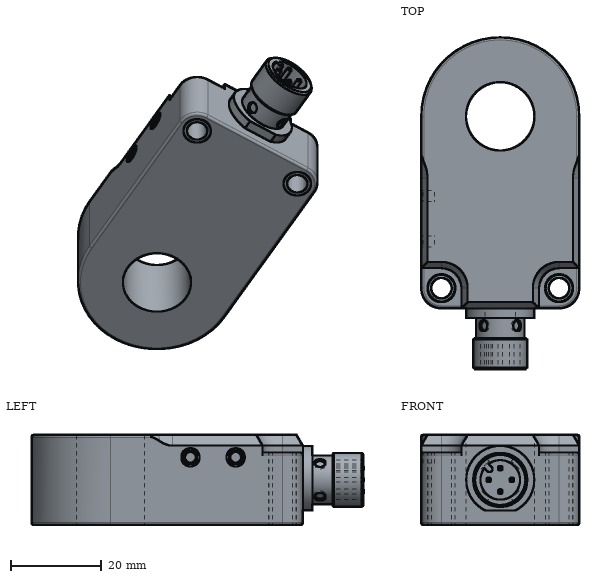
import cadquery as cq
import math

WIDTH = 35.0
HEIGHT = 20.0
HOUSING_LENGTH = 60.0
RING_RADIUS = WIDTH / 2
FRONT_Y = RING_RADIUS - HOUSING_LENGTH
RING_HOLE_DIAMETER = 15.1
EDGE_RADIUS = 0.6

BUSHING_OUTER_DIAMETER = 6.0
BUSHING_BORE_DIAMETER = 4.5
BUSHING_SEAT_DIAMETER = 6.1
CORNER_RADIUS = 4.5
MOUNT_X = RING_RADIUS - CORNER_RADIUS
MOUNT_Y = FRONT_Y + CORNER_RADIUS
MOUNTS = [(-MOUNT_X, MOUNT_Y), (MOUNT_X, MOUNT_Y)]
LUG_HEIGHT = 16.1
POCKET_RADIUS = 4.4

CROWN_HEIGHT = 2.4
CROWN_SLOPE = 30
CROWN_INSET = CROWN_HEIGHT * math.tan(math.radians(CROWN_SLOPE))
CROWN_BASE_Z = HEIGHT - CROWN_HEIGHT
RUNOUT_START_Y = -13.7
RUNOUT_END_Y = -7.5
RUNOUT_END_INSET = 0.15

WINDOW_SPACING = 10.0
REAR_WINDOW_Y = -17.65
WINDOW_POSITIONS = [REAR_WINDOW_Y, REAR_WINDOW_Y - WINDOW_SPACING]
WINDOW_Z = 15.0
WINDOW_DIAMETER = 4.05
WINDOW_STEP = 0.1
WINDOW_HOLE_DIAMETER = 2.4
WINDOW_HOLE_DEPTH = 2.95
WINDOW_COUNTERSINK = 0.3

CONNECTOR_Z = HEIGHT / 2
FLANGE_DIAMETER = 15.1
FLANGE_LENGTH = 2.1
FLANGE_FLAT_DROP = 6.75
NECK_DIAMETER = 10.8
NECK_LENGTH = 4.4
HEAD_DIAMETER = 12.0
TOTAL_LENGTH = 73.5
PIN_PROTRUSION = 0.1
CONNECTOR_LENGTH = TOTAL_LENGTH - HOUSING_LENGTH - PIN_PROTRUSION
HEAD_LENGTH = CONNECTOR_LENGTH - FLANGE_LENGTH - NECK_LENGTH
HEAD_FRONT_CHAMFER = 0.45
HEAD_BACK_CHAMFER = 0.4
SOCKET_DIAMETER = 8.75
SOCKET_DEPTH = HEAD_LENGTH
SOCKET_FLOOR_START = CONNECTOR_LENGTH - SOCKET_DEPTH
PIN_DIAMETER = 1.0
PIN_TIP_CHAMFER = 0.2
PIN_CIRCLE_RADIUS = 2.6
PIN_COUNT = 4
KEY_WIDTH = 1.3
KEY_TIP_CENTRE_RADIUS = 3.4
KEY_ANGLE = 135
GRIP_HOLE_DIAMETER = 2.4
GRIP_HOLE_DEPTH = 0.7
GRIP_HOLE_COUNT = 4
GRIP_HOLE_INSET = 1.7
GRIP_HOLE_OFFSET = FLANGE_LENGTH + GRIP_HOLE_INSET


def plan_outline():
    """Rounded-end plan shape with rounded front corners."""
    corner = CORNER_RADIUS * math.sqrt(0.5)
    return (
        cq.Workplane("XY")
        .moveTo(-RING_RADIUS, 0)
        .threePointArc((0, RING_RADIUS), (RING_RADIUS, 0))
        .lineTo(RING_RADIUS, MOUNT_Y)
        .threePointArc((MOUNT_X + corner, MOUNT_Y - corner), (MOUNT_X, FRONT_Y))
        .lineTo(-MOUNT_X, FRONT_Y)
        .threePointArc((-MOUNT_X - corner, MOUNT_Y - corner), (-RING_RADIUS, MOUNT_Y))
        .close()
    )


def base_block():
    """Full-height block with rounded top and bottom rims."""
    return plan_outline().extrude(HEIGHT).faces("|Z").edges().fillet(EDGE_RADIUS)


def half_crown_base():
    """Right half of the crown's lower outline, with the side swinging out beyond the ring."""
    runout_width = CROWN_INSET - RUNOUT_END_INSET
    runout_end_x = RING_RADIUS + runout_width
    runout_angle = 2 * math.atan(runout_width / (RUNOUT_END_Y - RUNOUT_START_Y))
    bend_x = RING_RADIUS - CROWN_INSET + runout_width / 2 + CROWN_INSET * math.cos(runout_angle)
    bend_y = (RUNOUT_START_Y + RUNOUT_END_Y) / 2 - CROWN_INSET * math.sin(runout_angle)
    pocket_bend = POCKET_RADIUS * math.sqrt(0.5)
    back_y = RING_RADIUS + 2 * CROWN_INSET
    return (
        cq.Workplane("XY", origin=(0, 0, CROWN_BASE_Z))
        .moveTo(0, back_y)
        .lineTo(runout_end_x, back_y)
        .lineTo(runout_end_x, RUNOUT_END_Y)
        .tangentArcPoint((bend_x, bend_y), relative=False)
        .tangentArcPoint((RING_RADIUS, RUNOUT_START_Y), relative=False)
        .lineTo(RING_RADIUS, MOUNT_Y + POCKET_RADIUS)
        .lineTo(MOUNT_X, MOUNT_Y + POCKET_RADIUS)
        .threePointArc(
            (MOUNT_X - pocket_bend, MOUNT_Y + pocket_bend),
            (MOUNT_X - POCKET_RADIUS, MOUNT_Y),
        )
        .lineTo(MOUNT_X - POCKET_RADIUS, FRONT_Y)
        .lineTo(0, FRONT_Y)
    )


def crown_envelope():
    """Space with sloping walls that bounds the housing above the crown's base level."""
    return half_crown_base().mirrorY().extrude(CROWN_HEIGHT, taper=CROWN_SLOPE)


def corner_zone(x, y, bottom_z, top_z):
    """Housing corner around a mounting hole, with an inner wall round about the hole axis."""
    side = math.copysign(1, x)
    reach = 2 * CORNER_RADIUS
    bend = POCKET_RADIUS * math.sqrt(0.5)
    return (
        cq.Workplane("XY", origin=(x, y, bottom_z))
        .moveTo(side * reach, POCKET_RADIUS)
        .lineTo(0, POCKET_RADIUS)
        .threePointArc((-side * bend, bend), (-side * POCKET_RADIUS, 0))
        .lineTo(-side * POCKET_RADIUS, -reach)
        .lineTo(side * reach, -reach)
        .close()
        .extrude(top_z - bottom_z)
    )


def lug_rim(x, y):
    """Ring of material to remove so that the outer rim of a mounting lug is rounded."""
    rounded = plan_outline().extrude(LUG_HEIGHT).faces(">Z").edges().fillet(EDGE_RADIUS)
    return corner_zone(x, y, LUG_HEIGHT - EDGE_RADIUS, LUG_HEIGHT).cut(rounded)


def window_cut(y):
    """Shallow round step with a countersunk blind hole."""
    face = cq.Workplane("YZ", origin=(-RING_RADIUS, y, WINDOW_Z))
    step = face.circle(WINDOW_DIAMETER / 2).extrude(WINDOW_STEP)
    hole = face.circle(WINDOW_HOLE_DIAMETER / 2).extrude(WINDOW_HOLE_DEPTH)
    sink = (
        face.workplane(offset=WINDOW_STEP)
        .circle(WINDOW_HOLE_DIAMETER / 2 + WINDOW_COUNTERSINK)
        .extrude(WINDOW_COUNTERSINK, taper=45)
    )
    return step.union(hole).union(sink)


def connector_section(diameter, start, length):
    """Cylinder along -Y that starts at a distance from the housing front."""
    plane = cq.Workplane("XZ", origin=(0, FRONT_Y - start, CONNECTOR_Z))
    return plane.circle(diameter / 2).extrude(length)


def flange():
    """Disc against the housing front, with a flat on its lower side."""
    disc = connector_section(FLANGE_DIAMETER, 0, FLANGE_LENGTH)
    below_flat = (
        cq.Workplane("XY", origin=(0, FRONT_Y, CONNECTOR_Z - FLANGE_FLAT_DROP))
        .rect(FLANGE_DIAMETER, 2 * FLANGE_LENGTH)
        .extrude(-FLANGE_DIAMETER)
    )
    return disc.cut(below_flat)


def neck():
    """Cylinder with blind grip holes halfway between the vertical and horizontal."""
    body = connector_section(NECK_DIAMETER, FLANGE_LENGTH, NECK_LENGTH)
    floor = NECK_DIAMETER / 2 - GRIP_HOLE_DEPTH
    hole = (
        cq.Workplane("XY", origin=(0, FRONT_Y - GRIP_HOLE_OFFSET, CONNECTOR_Z + floor))
        .circle(GRIP_HOLE_DIAMETER / 2)
        .extrude(2 * GRIP_HOLE_DEPTH)
    )
    axis_start = (0, 0, CONNECTOR_Z)
    axis_end = (0, 1, CONNECTOR_Z)
    for i in range(GRIP_HOLE_COUNT):
        angle = 360 / GRIP_HOLE_COUNT * (i + 0.5)
        body = body.cut(hole.rotate(axis_start, axis_end, angle))
    return body


def key():
    """Round-nosed rib inside the socket."""
    plane = cq.Workplane("XZ", origin=(0, FRONT_Y - SOCKET_FLOOR_START, CONNECTOR_Z))
    nose = plane.center(KEY_TIP_CENTRE_RADIUS, 0).circle(KEY_WIDTH / 2).extrude(SOCKET_DEPTH)
    root_length = (SOCKET_DIAMETER + HEAD_DIAMETER) / 4 - KEY_TIP_CENTRE_RADIUS
    root = (
        plane.center(KEY_TIP_CENTRE_RADIUS + root_length / 2, 0)
        .rect(root_length, KEY_WIDTH)
        .extrude(SOCKET_DEPTH)
    )
    rib = nose.union(root)
    return rib.rotate((0, 0, CONNECTOR_Z), (0, -1, CONNECTOR_Z), KEY_ANGLE)


def pins():
    """Contact pins that stand on the socket floor."""
    return (
        cq.Workplane("XZ", origin=(0, FRONT_Y - SOCKET_FLOOR_START, CONNECTOR_Z))
        .polarArray(PIN_CIRCLE_RADIUS, 0, 360, PIN_COUNT)
        .circle(PIN_DIAMETER / 2)
        .extrude(SOCKET_DEPTH + PIN_PROTRUSION)
        .faces("<Y")
        .edges()
        .chamfer(PIN_TIP_CHAMFER)
    )


def head():
    """Connector head with its socket and key."""
    start = FLANGE_LENGTH + NECK_LENGTH
    body = connector_section(HEAD_DIAMETER, start, HEAD_LENGTH)
    body = body.faces("<Y").edges().chamfer(HEAD_FRONT_CHAMFER)
    body = body.faces(">Y").edges().chamfer(HEAD_BACK_CHAMFER)
    body = body.cut(connector_section(SOCKET_DIAMETER, SOCKET_FLOOR_START, SOCKET_DEPTH))
    return body.union(key())


def make_housing():
    """Ring housing in one piece with its connector."""
    lower_block = plan_outline().extrude(CROWN_BASE_Z)
    body = base_block().intersect(lower_block.union(crown_envelope()))
    for x, y in MOUNTS:
        body = body.cut(corner_zone(x, y, LUG_HEIGHT, HEIGHT))
        body = body.cut(lug_rim(x, y))
        seat = cq.Workplane("XY").center(x, y).circle(BUSHING_SEAT_DIAMETER / 2)
        body = body.cut(seat.extrude(LUG_HEIGHT))
    body = body.cut(cq.Workplane("XY").circle(RING_HOLE_DIAMETER / 2).extrude(HEIGHT))
    for y in WINDOW_POSITIONS:
        body = body.cut(window_cut(y))
    return body.union(flange()).union(neck()).union(head()).union(pins())


def make_bushing(x, y):
    """Plain sleeve, flush with the underside and with the top of its lug."""
    return (
        cq.Workplane("XY")
        .center(x, y)
        .circle(BUSHING_OUTER_DIAMETER / 2)
        .circle(BUSHING_BORE_DIAMETER / 2)
        .extrude(LUG_HEIGHT)
    )


housing = make_housing()
bushings = [make_bushing(x, y) for x, y in MOUNTS]

result = cq.Compound.makeCompound([housing.val(), *[bushing.val() for bushing in bushings]])